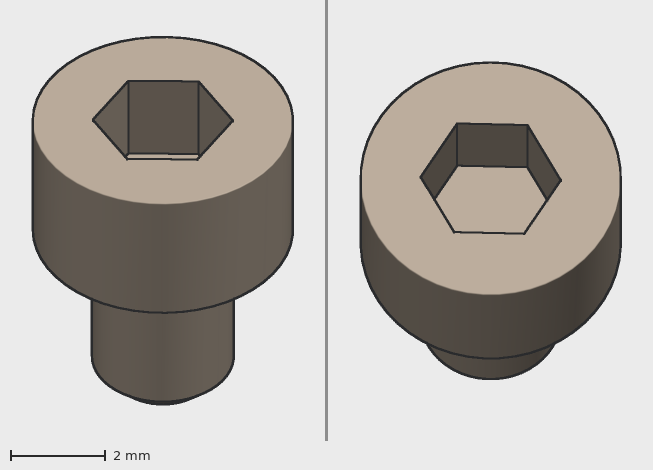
import cadquery as cq
import math

total_length = 7.0
head_diameter = 5.5
head_height = 3.0
head_edge_radius = 0.03
shank_diameter = 3.0
tip_chamfer = 0.5
socket_across_flats = 2.56
socket_depth = 2.0

shank_length = total_length - head_height
socket_across_corners = socket_across_flats / math.cos(math.radians(30))


def make_head():
    """Cylindrical head sitting on Z = 0, with a slightly rounded top rim."""
    head = cq.Workplane("XY").circle(head_diameter / 2).extrude(head_height)
    return head.faces(">Z").edges().fillet(head_edge_radius)


def make_shank():
    """Plain shank hanging below the head, with a chamfered tip."""
    shank = cq.Workplane("XY").circle(shank_diameter / 2).extrude(-shank_length)
    return shank.faces("<Z").edges().chamfer(tip_chamfer)


def make_socket():
    """Hexagonal key socket with two corners on the X axis."""
    return (
        cq.Workplane("XY")
        .workplane(offset=head_height)
        .polygon(6, socket_across_corners)
        .extrude(-socket_depth)
    )


result = make_head().union(make_shank()).cut(make_socket())